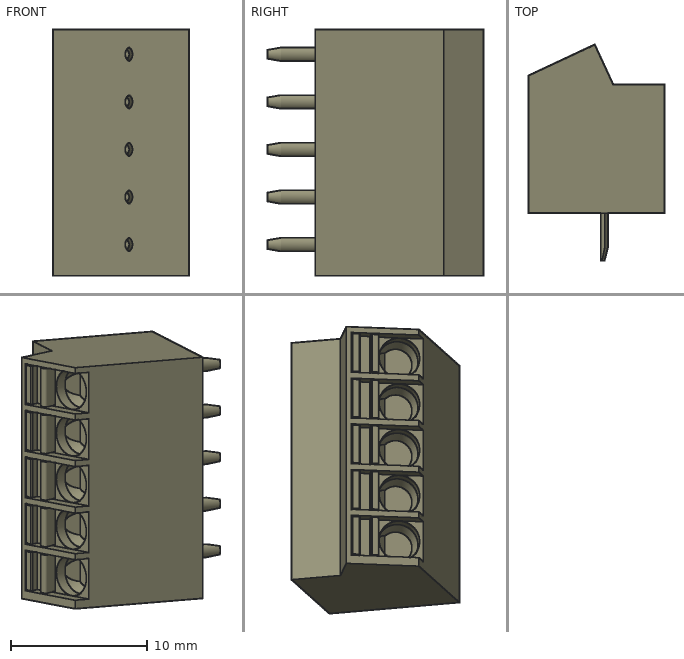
import cadquery as cq
import math

body_width = 10.0
body_height = 18.1
shoulder_y = 9.45
entry_corner_y = 10.1
ridge_x = 4.87
ridge_y = 12.38
notch_x = 6.23

pole_count = 5
pitch = 3.5
end_wall = 0.43
recess_height = 3.04
first_pin_drop = 1.83

recess_depth = 1.0
recess_end_u = 5.0
recess_overrun = 1.81
slope_angle = math.degrees(math.atan2(ridge_y - entry_corner_y, ridge_x))

button_start_u = 2.95
button_gap = 0.09
button_end_u = recess_end_u - button_gap
button_round = 0.154
groove_u = 3.95
groove_width = 0.8
groove_depth = 0.6
groove_bevel = 0.09

entry_radius = 1.5
entry_u = 1.3
entry_depth = 1.81
funnel_drop = 0.92
funnel_angle = 20.0
ledge_reach = 1.47
ledge_angle = 36.0

pin_length = 3.51
pin_root = 0.36
pin_tip_length = 1.0
pin_left_x = 5.3
pin_right_x = 5.85
left_face_radius = 0.58
right_face_radius = 0.63
tip_end_radius = 0.38


def slope_plane(z):
    """Plane with local x up the entry slope, local y out of it and local z along Z."""
    base = cq.Plane(origin=(0, entry_corner_y, z))
    return base.rotated((0, 0, slope_angle))


def make_housing():
    outline = [
        (0, 0),
        (body_width, 0),
        (body_width, shoulder_y),
        (notch_x, shoulder_y),
        (ridge_x, ridge_y),
        (0, entry_corner_y),
    ]
    return cq.Workplane("XY").polyline(outline).close().extrude(body_height)


def make_recess(z):
    """Cutter for one recess; z is its lower side."""
    length = recess_end_u + recess_overrun
    return (
        cq.Workplane(slope_plane(z))
        .moveTo(recess_end_u - length / 2, 0)
        .rect(length, 2 * recess_depth)
        .extrude(recess_height)
    )


def make_button(z):
    """Button in the recess whose lower side is z: rounded front edge, bevelled groove across the top."""
    half_groove = groove_width / 2
    half_mouth = half_groove + groove_bevel
    foot = -recess_depth - button_gap
    arc_shift = button_round * (1 - math.sqrt(0.5))
    return (
        cq.Workplane(slope_plane(z + button_gap))
        .moveTo(button_start_u, foot)
        .lineTo(button_start_u, -button_round)
        .threePointArc(
            (button_start_u + arc_shift, -arc_shift),
            (button_start_u + button_round, 0),
        )
        .lineTo(groove_u - half_mouth, 0)
        .lineTo(groove_u - half_groove, -groove_bevel)
        .lineTo(groove_u - half_groove, -groove_depth)
        .lineTo(groove_u + half_groove, -groove_depth)
        .lineTo(groove_u + half_groove, -groove_bevel)
        .lineTo(groove_u + half_mouth, 0)
        .lineTo(button_end_u, 0)
        .lineTo(button_end_u, foot)
        .close()
        .extrude(recess_height - 2 * button_gap)
    )


def make_wire_entry(z):
    """Cutter for one wire entry: a round hole, then a funnel with one flat slanted ledge."""
    plane = slope_plane(z + recess_height / 2)
    funnel_height = entry_depth - funnel_drop
    hole = (
        cq.Workplane(plane)
        .transformed(rotate=(90, 0, 0), offset=(entry_u, -recess_depth, 0))
        .circle(entry_radius)
        .extrude(funnel_drop)
        .faces("<Y")
        .workplane()
        .circle(entry_radius)
        .extrude(funnel_height, taper=funnel_angle)
    )
    ledge_run = funnel_height * math.tan(math.radians(ledge_angle))
    ledge_u = entry_u + ledge_reach
    ledge_top = -recess_depth - funnel_drop
    ledge_bottom = -recess_depth - entry_depth
    ledge = (
        cq.Workplane(plane)
        .polyline([
            (ledge_u, ledge_top),
            (entry_u + entry_radius, ledge_top),
            (entry_u + entry_radius, ledge_bottom),
            (ledge_u - ledge_run, ledge_bottom),
        ])
        .close()
        .extrude(entry_radius, both=True)
    )
    return hole.cut(ledge)


def make_pin(z):
    """Lens-shaped pin, pointed on its right side; z is its centre height."""
    left_bar = (
        cq.Workplane("XZ", origin=(pin_left_x + left_face_radius, pin_root, z))
        .circle(left_face_radius)
        .extrude(pin_root + pin_length)
    )
    tip_start = pin_tip_length - pin_length
    right_bar = (
        cq.Workplane("XY")
        .moveTo(0, pin_root)
        .lineTo(right_face_radius, pin_root)
        .lineTo(right_face_radius, tip_start)
        .lineTo(tip_end_radius, -pin_length)
        .lineTo(0, -pin_length)
        .close()
        .revolve(360, (0, 0, 0), (0, 1, 0))
        .translate((pin_right_x - right_face_radius, 0, z))
    )
    return left_bar.intersect(right_bar)


result = make_housing()
for pole in range(pole_count):
    recess_z = body_height - end_wall - recess_height - pole * pitch
    pin_z = body_height - first_pin_drop - pole * pitch
    result = result.cut(make_recess(recess_z))
    result = result.cut(make_wire_entry(recess_z))
    result = result.union(make_button(recess_z))
    result = result.union(make_pin(pin_z))